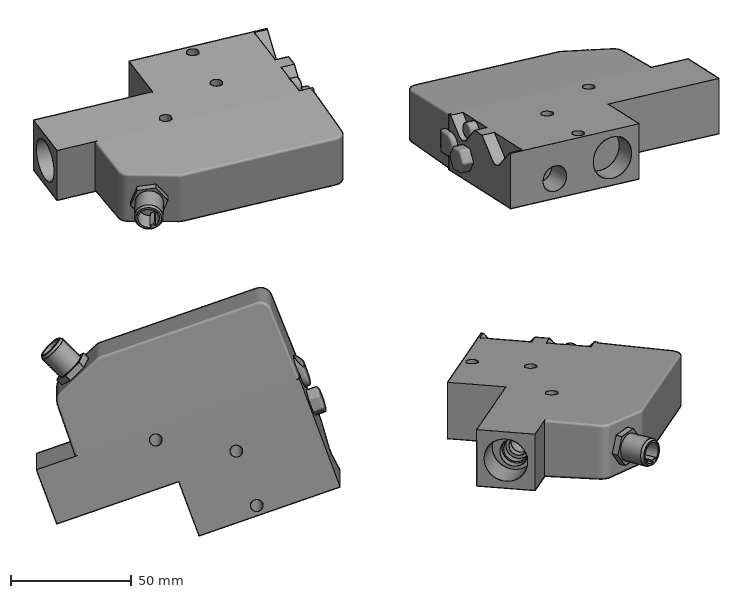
import cadquery as cq
import math

HEIGHT = 25.0
MID_Z = HEIGHT / 2
BLOCK_WIDTH = 50.0
STEM_WIDTH = BLOCK_WIDTH / 2
STEM_X = BLOCK_WIDTH - STEM_WIDTH / 2
STEM_LENGTH = 54.0
BLOCK_LENGTH = 116.5

MOUNT_DIA = 5.2
MOUNT_CENTRES = [(4.3, 81.1), (29.3, 81.1), (45.3, 51.2)]

PORT_DIA = 18.63
SIDE_PORT_Y = 67.0
SIDE_PORT_DEPTH = 10.0
PILOT_DIA = 11.45
PILOT_Y = 95.0
PILOT_Z = 9.0
PILOT_DEPTH = 12.0
FRONT_PORT_DEPTH = 15.0
SEAT_Z = 10.6
SEAT_STEP_DEPTH = 4.0
SEAT_DIAS = [12.0, 10.7, 8.0]
DRILL_POINT_ANGLE = 118.0

NOTCH_DEPTH = 6.0
NOTCHES = [(11.9, 22.2), (38.8, 19.2)]
NOTCH_SLOPE = math.radians(45)
NOTCH_RADIUS = 4.0
PIN_DIA = 7.0
PIN_NOTCH = NOTCHES[1]
PIN_LENGTH = 4.1
PIN_ROUND = 0.8

PLUG_X = 35.8
PLUG_Z = 10.35
PLUG_FLATS = 10.3
PLUG_HEIGHT = 5.0
PLUG_CORNER_ROUND = 1.3
PLUG_TOP_ROUND = 1.1

LENS_WIDTH = 10.3
LENS_LEFT = 42.6
LENS_RIGHT = 56.6
LENS_HEIGHT = 2.6
LENS_RAMP_X = 51.7
LENS_ROUND = 1.2
LENS_ROOT = 1.5

COVER_Y_MIN = 17.2
COVER_Y_MAX = 116.3
COVER_X_MAX = 86.65
COVER_DRAFT = 1.15
COVER_CORNER_RADIUS = 5.0
COVER_EDGE_RADIUS = 1.0
TILT = 24.4
SLANT_TOP_Y = 40.5

CONNECTOR_Y = 28.5
CONNECTOR_DIA = 12.0
CONNECTOR_TIP_DIA = 10.7
CONNECTOR_TIP_LENGTH = 1.2
CONNECTOR_BORE_DIA = 9.0
CONNECTOR_BORE_DEPTH = 9.0
KEY_WIDTH = 2.0
KEY_INNER_RADIUS = 3.3
KEY_ANGLE = 205.0
OVERALL_X = 96.84
NUT_FLATS = 13.7
NUT_HEIGHT = 3.0
NUT_TURN = -20.0
NUT_ROOT = 1.0

TILT_RAD = math.radians(TILT)


def cylinder(start, direction, diameter, length):
    return cq.Workplane(cq.Solid.makeCylinder(diameter / 2, length, cq.Vector(*start), cq.Vector(*direction)))


def make_block():
    head_length = BLOCK_LENGTH - STEM_LENGTH
    stem = cq.Workplane().box(STEM_WIDTH, BLOCK_LENGTH, HEIGHT, centered=False)
    stem = stem.translate((BLOCK_WIDTH - STEM_WIDTH, 0, 0))
    head = cq.Workplane().box(BLOCK_WIDTH, head_length, HEIGHT, centered=False)
    return stem.union(head.translate((0, STEM_LENGTH, 0)))


def front_port():
    port = cylinder((STEM_X, 0, MID_Z), (0, 1, 0), PORT_DIA, FRONT_PORT_DEPTH)
    y = FRONT_PORT_DEPTH
    for diameter in SEAT_DIAS:
        port = port.union(cylinder((STEM_X, y, SEAT_Z), (0, 1, 0), diameter, SEAT_STEP_DEPTH))
        y += SEAT_STEP_DEPTH
    drill_radius = SEAT_DIAS[-1] / 2
    point_length = drill_radius / math.tan(math.radians(DRILL_POINT_ANGLE / 2))
    point = cq.Solid.makeCone(drill_radius, 0, point_length, cq.Vector(STEM_X, y, SEAT_Z), cq.Vector(0, 1, 0))
    return port.union(cq.Workplane(point))


def notch_arc_z(width):
    apex_z = HEIGHT - width / 2 * math.tan(NOTCH_SLOPE)
    return apex_z + NOTCH_RADIUS / math.cos(NOTCH_SLOPE)


def notch(centre_x, width):
    arc_z = notch_arc_z(width)
    tangent_x = NOTCH_RADIUS * math.sin(NOTCH_SLOPE)
    tangent_z = arc_z - NOTCH_RADIUS * math.cos(NOTCH_SLOPE)
    return (
        cq.Workplane("XZ", origin=(centre_x, BLOCK_LENGTH, 0))
        .moveTo(-width / 2, HEIGHT)
        .lineTo(-tangent_x, tangent_z)
        .threePointArc((0, arc_z - NOTCH_RADIUS), (tangent_x, tangent_z))
        .lineTo(width / 2, HEIGHT)
        .close()
        .extrude(NOTCH_DEPTH)
    )


def make_pin():
    pin_x, notch_width = PIN_NOTCH
    pin_z = notch_arc_z(notch_width)
    base_y = BLOCK_LENGTH - NOTCH_DEPTH
    pin = cylinder((pin_x, base_y - PIN_LENGTH, pin_z), (0, 1, 0), PIN_DIA, 2 * PIN_LENGTH)
    return pin.faces(">Y").edges().fillet(PIN_ROUND)


def make_plug():
    corner_dia = PLUG_FLATS / math.cos(math.pi / 6)
    plug = (
        cq.Workplane("XZ", origin=(PLUG_X, BLOCK_LENGTH, PLUG_Z))
        .polygon(6, corner_dia)
        .extrude(-PLUG_HEIGHT)
        .edges("|Y")
        .fillet(PLUG_CORNER_ROUND)
    )
    return plug.faces(">Y").edges().fillet(PLUG_TOP_ROUND)


def make_lens():
    top_y = BLOCK_LENGTH + LENS_HEIGHT
    length = LENS_RIGHT - LENS_LEFT
    lens = (
        cq.Workplane("XZ", origin=(LENS_LEFT + length / 2, BLOCK_LENGTH - LENS_ROOT, MID_Z))
        .slot2D(length, LENS_WIDTH)
        .extrude(-(LENS_HEIGHT + LENS_ROOT))
    )
    ramp = (
        cq.Workplane("XY")
        .polyline([(LENS_RAMP_X, top_y), (LENS_RIGHT, top_y), (LENS_RIGHT, BLOCK_LENGTH)])
        .close()
        .extrude(HEIGHT)
    )
    return lens.faces(">Y").edges().fillet(LENS_ROUND).cut(ramp)


def make_cover():
    length_y = COVER_Y_MAX - COVER_Y_MIN
    cover = (
        cq.Workplane("YZ", origin=(BLOCK_WIDTH, (COVER_Y_MIN + COVER_Y_MAX) / 2, MID_Z))
        .rect(length_y, HEIGHT)
        .extrude(COVER_X_MAX - BLOCK_WIDTH, taper=COVER_DRAFT)
    )
    slant_run = (SLANT_TOP_Y - COVER_Y_MIN) * math.tan(TILT_RAD)
    corner = (
        cq.Workplane("XY")
        .moveTo(COVER_X_MAX, SLANT_TOP_Y)
        .lineTo(COVER_X_MAX - slant_run, COVER_Y_MIN)
        .lineTo(COVER_X_MAX, COVER_Y_MIN)
        .close()
        .extrude(HEIGHT)
    )
    cover = cover.cut(corner)
    cover = cover.edges("|Z and (not <X)").fillet(COVER_CORNER_RADIUS)
    rims = cover.faces(">Z or <Z").edges("not <X")
    return rims.fillet(COVER_EDGE_RADIUS)


def make_connector():
    base_x = COVER_X_MAX - (SLANT_TOP_Y - CONNECTOR_Y) * math.tan(TILT_RAD)
    tip_radius = CONNECTOR_TIP_DIA / 2
    length = (OVERALL_X - base_x - tip_radius * math.sin(TILT_RAD)) / math.cos(TILT_RAD)
    seat = cq.Plane(
        origin=(base_x, CONNECTOR_Y, MID_Z),
        xDir=(0, 0, 1),
        normal=(math.cos(TILT_RAD), -math.sin(TILT_RAD), 0),
    )
    nut_corner_dia = NUT_FLATS / math.cos(math.pi / 6)
    nut = (
        cq.Workplane(seat.rotated((0, 0, NUT_TURN)))
        .workplane(offset=-NUT_ROOT)
        .polygon(6, nut_corner_dia)
        .extrude(NUT_HEIGHT + NUT_ROOT)
    )
    barrel = cq.Workplane(seat).circle(CONNECTOR_DIA / 2).extrude(length - CONNECTOR_TIP_LENGTH)
    tip = (
        cq.Workplane(seat)
        .workplane(offset=length - CONNECTOR_TIP_LENGTH)
        .circle(CONNECTOR_DIA / 2)
        .workplane(offset=CONNECTOR_TIP_LENGTH)
        .circle(tip_radius)
        .loft()
    )
    bore = (
        cq.Workplane(seat)
        .workplane(offset=length - CONNECTOR_BORE_DEPTH)
        .circle(CONNECTOR_BORE_DIA / 2)
        .extrude(CONNECTOR_BORE_DEPTH)
    )
    bore_radius = CONNECTOR_BORE_DIA / 2
    key_outer_radius = (bore_radius + tip_radius) / 2
    key_height = key_outer_radius - KEY_INNER_RADIUS
    key = (
        cq.Workplane(seat.rotated((0, 0, KEY_ANGLE)))
        .workplane(offset=length - CONNECTOR_BORE_DEPTH)
        .center(KEY_INNER_RADIUS + key_height / 2, 0)
        .rect(key_height, KEY_WIDTH)
        .extrude(CONNECTOR_BORE_DEPTH)
    )
    return nut.union(barrel).union(tip).cut(bore).union(key)


block = make_block()
for x, y in MOUNT_CENTRES:
    block = block.cut(cylinder((x, y, 0), (0, 0, 1), MOUNT_DIA, HEIGHT))
block = block.cut(cylinder((0, SIDE_PORT_Y, MID_Z), (1, 0, 0), PORT_DIA, SIDE_PORT_DEPTH))
block = block.cut(cylinder((0, PILOT_Y, PILOT_Z), (1, 0, 0), PILOT_DIA, PILOT_DEPTH))
block = block.cut(front_port())
for centre_x, width in NOTCHES:
    block = block.cut(notch(centre_x, width))

result = block.union(make_cover()).union(make_pin()).union(make_plug())
result = result.union(make_lens()).union(make_connector())